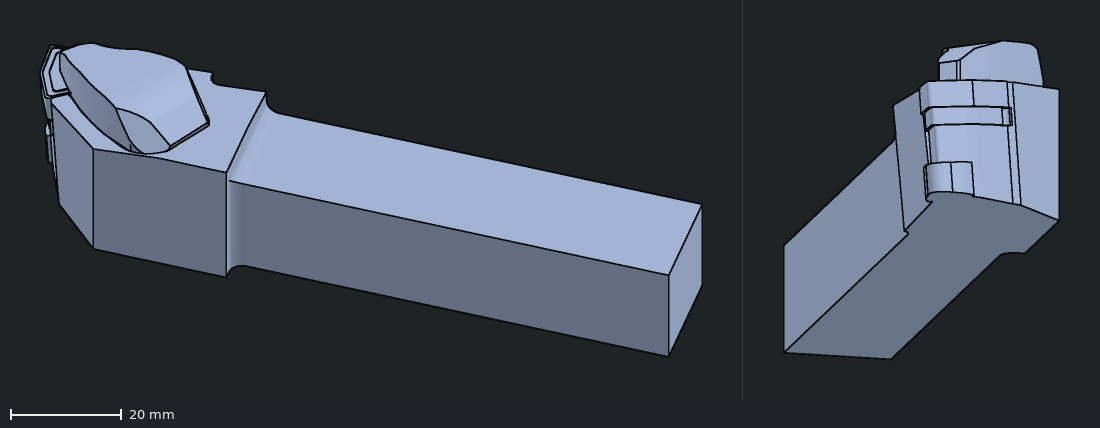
import cadquery as cq
import math

TOTAL_LENGTH = 125.0
SHANK_SIZE = 20.0
SHANK_FRONT_Y = 4.0
SHANK_BACK_Y = SHANK_FRONT_Y + SHANK_SIZE
HEAD_HEIGHT = 25.7
HEAD_END_X = 42.5
HEAD_CORNER_X = 17.3
BACK_STEP_X = 31.3
BACK_LEFT_X = 10.0
BACK_WALL_Y = 27.45
BACK_WALL_RISE = 0.022
HEAD_LEFT_X = 4.5
SEAT_WALL_LENGTH = 1.4
NECK_FILLET = 2.5
EDGE_TOLERANCE = 0.1

BACK_DRAFT_TOP = 23.0
BACK_DRAFT_SHIFT = 2.2
BACK_LEFT_Y = BACK_WALL_Y + BACK_WALL_RISE * (BACK_STEP_X - BACK_LEFT_X)
BACK_DRAFT = (
    (BACK_LEFT_X, BACK_LEFT_Y, BACK_DRAFT_TOP),
    (BACK_STEP_X, BACK_WALL_Y, BACK_DRAFT_TOP),
    (BACK_STEP_X, BACK_WALL_Y - BACK_DRAFT_SHIFT, 0),
)
SEAT_WALL = ((5.0, 13.3, 22.0), (7.1, 11.2, 0.0), (5.5, 12.0, 22.0))

RAKE_SLOPE = math.tan(math.radians(5.5))
RAKE_START_X = 29.7

INSERT_CENTER = (6.83, 22.13)
INSCRIBED_RADIUS = 6.35
NOSE_HALF_ANGLE = 40.0
HALF_PITCH = 60.0
SIDE_BREAK_ANGLE = 10.0
NOSE_DIRECTIONS = (135.0, 255.0, 15.0)
NOSE_RADIUS = 0.8
INSERT_THICKNESS = 4.76
BREAKER_LAND = 0.5
BREAKER_WIDTH = 1.2
BREAKER_DEPTH = 0.25

SHIM_THICKNESS = 3.18
SHIM_GROWTH = 0.5
SEAT_DEPTH = INSERT_THICKNESS + SHIM_THICKNESS
RELIEF_RADIUS = 0.9
LEDGE_DEPTH = 15.0
SUPPORT_TIP = 8.32
SUPPORT_SIDE = ((3.64, 3.94), (1.89, 5.01), (-4.96, 7.5))
LEDGE_TIP = 9.6
LEDGE_SIDE = ((4.1, 4.8), (5.8, 4.3), (7.85, 2.6))
DEEP = 40.0

CLAMP_TOP = 32.82
CLAMP_BASE = 18.0
CLAMP_NOSE_HEIGHT = 25.2
CLAMP_POCKET_DEPTH = 0.5
CLAMP_CLEARANCE = 0.25
FRONT_RAMP_DIRECTION = -43.3
FRONT_RAMP = ((-12.4, CLAMP_NOSE_HEIGHT), (-8.4, 28.2), (-0.6, 31.2), (9.4, CLAMP_TOP))
REAR_RAMP_DIRECTION = -29.0
REAR_RAMP = ((13.2, CLAMP_TOP), (17.6, 32.15), (21.5, 30.2), (25.5, 26.4))
REAR_RAMP_TILT = 1.9
REAR_RAMP_ORIGIN = (6.5, 11.7, 0)
SIDE_BEVEL = ((20.9, 3.4, 32.5), (25.7, 0.9, 25.6), (30.2, 2.9, 26.3))
SIDE_UNDERCUT = ((21.7, 2.5, 29.3), (18.5, 4.75, 25.6), (23.85, 1.2, 27.6))
HEEL_BEVEL = ((29.0, 18.4, 31.7), (35.4, 11.5, 25.7), (33.8, 15.3, 24.5))


def rake_height(x, y):
    return HEAD_HEIGHT + RAKE_SLOPE * (x - RAKE_START_X - y)


RAKE_PLANE = cq.Plane(
    origin=(*INSERT_CENTER, rake_height(*INSERT_CENTER)),
    xDir=(1, 0, RAKE_SLOPE),
    normal=(-RAKE_SLOPE, RAKE_SLOPE, 1),
)


def polar(radius, degrees):
    angle = math.radians(degrees)
    return (radius * math.cos(angle), radius * math.sin(angle))


def edge_near(solid, point):
    return solid.edges(cq.NearestToPointSelector(point.toTuple())).val()


def trigon(inset, top_depth, thickness):
    """Trigon prism below the rake plane, its sides moved in by the inset."""
    radius = INSCRIBED_RADIUS - inset
    nose_distance = radius / math.sin(math.radians(NOSE_HALF_ANGLE))
    side_distance = radius / math.cos(math.radians(SIDE_BREAK_ANGLE))
    points = []
    for direction in NOSE_DIRECTIONS:
        points.append(polar(nose_distance, direction))
        points.append(polar(side_distance, direction + HALF_PITCH))
    prism = (
        cq.Workplane(RAKE_PLANE).workplane(offset=-top_depth)
        .polyline(points).close().extrude(-thickness)
    )
    corners = []
    for direction in NOSE_DIRECTIONS:
        edge_middle = (*polar(nose_distance, direction), -top_depth - thickness / 2)
        corners.append(edge_near(prism, RAKE_PLANE.toWorldCoords(edge_middle)))
    return prism.newObject(corners).fillet(NOSE_RADIUS)


def half_space(p1, p2, p3, size=100.0):
    """Block on the side of plane p1-p2-p3 that its right-handed normal points to."""
    a, b, c = cq.Vector(*p1), cq.Vector(*p2), cq.Vector(*p3)
    plane = cq.Plane(origin=p1, xDir=(b - a).toTuple(), normal=(b - a).cross(c - a).toTuple())
    return cq.Workplane(plane).rect(size, size).extrude(size)


def make_insert():
    """Trigon insert with a chip breaker groove around its top."""
    insert = trigon(0, 0, INSERT_THICKNESS)
    groove = trigon(BREAKER_LAND, 0, BREAKER_DEPTH).cut(
        trigon(BREAKER_LAND + BREAKER_WIDTH, 0, BREAKER_DEPTH))
    return insert.cut(groove)


def make_head_and_shank():
    """Upright head block with the square shank and its neck fillets."""
    left_wall_y = HEAD_CORNER_X - HEAD_LEFT_X
    head = (
        cq.Workplane("XY")
        .moveTo(HEAD_CORNER_X, 0)
        .lineTo(HEAD_END_X, 0)
        .lineTo(HEAD_END_X, SHANK_BACK_Y)
        .lineTo(BACK_STEP_X + NECK_FILLET, SHANK_BACK_Y)
        .radiusArc((BACK_STEP_X, SHANK_BACK_Y + NECK_FILLET), NECK_FILLET)
        .lineTo(BACK_STEP_X, BACK_WALL_Y)
        .lineTo(BACK_LEFT_X, BACK_LEFT_Y)
        .lineTo(HEAD_LEFT_X, left_wall_y + SEAT_WALL_LENGTH)
        .lineTo(HEAD_LEFT_X, left_wall_y)
        .close().extrude(HEAD_HEIGHT)
    )
    shank = cq.Workplane("XY").box(
        TOTAL_LENGTH - HEAD_END_X, SHANK_SIZE, SHANK_SIZE, centered=False
    ).translate((HEAD_END_X, SHANK_FRONT_Y, 0))
    body = head.union(shank)
    neck = cq.selectors.BoxSelector(
        (HEAD_END_X - EDGE_TOLERANCE, SHANK_FRONT_Y - EDGE_TOLERANCE, -EDGE_TOLERANCE),
        (HEAD_END_X + EDGE_TOLERANCE, SHANK_BACK_Y + EDGE_TOLERANCE, SHANK_SIZE + EDGE_TOLERANCE),
    )
    return body.edges(neck).edges("<Y or >Z").fillet(NECK_FILLET)


def mirrored(points):
    """Half outline followed by its mirror image across the tip bisector, in reverse order."""
    return [*points, *((along, -side) for along, side in reversed(points))]


def seat_outline(depth):
    """Workplane at a depth below the rake plane; its x axis runs from insert centre to tip."""
    tip_direction = RAKE_PLANE.toWorldCoords(polar(1, NOSE_DIRECTIONS[0])) - RAKE_PLANE.origin
    frame = cq.Plane(origin=RAKE_PLANE.origin, xDir=tip_direction, normal=RAKE_PLANE.zDir)
    return cq.Workplane(frame).workplane(offset=-depth)


def make_support(growth, thickness):
    """Block under the insert; growth moves its sides outwards."""
    outline = seat_outline(INSERT_THICKNESS).polyline([(SUPPORT_TIP, 0), *mirrored(SUPPORT_SIDE)]).close()
    if growth:
        outline = outline.offset2D(growth, "intersection")
    block = outline.extrude(-thickness)
    middle_plane = seat_outline(INSERT_THICKNESS + thickness / 2).plane
    tip_edge = edge_near(block, middle_plane.toWorldCoords((SUPPORT_TIP + growth, 0)))
    return block.newObject([tip_edge]).fillet(NOSE_RADIUS)


def make_ledge():
    """Rounded nose that sticks out below the support."""
    root, flank, shoulder, far_shoulder, far_flank, far_root = mirrored(LEDGE_SIDE)
    return (
        seat_outline(LEDGE_DEPTH)
        .lineTo(*root)
        .threePointArc(flank, shoulder)
        .threePointArc((LEDGE_TIP, 0), far_shoulder)
        .threePointArc(far_flank, far_root)
        .close().extrude(-DEEP)
    )


def make_seat():
    shim = make_support(SHIM_GROWTH, SHIM_THICKNESS)
    seat = make_support(0, DEEP).union(shim).union(make_ledge())
    return seat.intersect(cq.Workplane("XY").box(2 * DEEP, 2 * DEEP, DEEP, centered=(True, True, False)))


def make_nose_reliefs():
    """Round clearances in the seat wall at the two inner insert corners."""
    nose_distance = (INSCRIBED_RADIUS - NOSE_RADIUS) / math.sin(math.radians(NOSE_HALF_ANGLE))
    return (
        cq.Workplane(RAKE_PLANE)
        .pushPoints([polar(nose_distance, d) for d in NOSE_DIRECTIONS[1:]])
        .circle(RELIEF_RADIUS).extrude(-SEAT_DEPTH)
    )


def make_clamp_blank():
    """Plan outline of the clamp with vertical walls."""
    return (
        cq.Workplane("XY", origin=(0, 0, CLAMP_BASE))
        .moveTo(4.0, 21.8)
        .lineTo(4.0, 22.5)
        .lineTo(6.4, 25.1)
        .threePointArc((8.4, 24.8), (10.2, 23.3))
        .threePointArc((14.0, 21.5), (18.7, 20.9))
        .threePointArc((25.9, 19.6), (33.8, 15.3))
        .threePointArc((35.2, 13.6), (35.4, 11.5))
        .lineTo(30.7, 2.75)
        .threePointArc((26.0, 0.9), (21.9, 2.3))
        .threePointArc((13.4, 9.2), (7.4, 16.3))
        .close().extrude(CLAMP_TOP - CLAMP_BASE)
    )


def ramp_workplane(origin, direction, tilt):
    """Upright sketch plane along a plan direction; its normal is tipped up by the tilt angle."""
    across = (*polar(1, direction - 90), math.tan(math.radians(tilt)))
    return cq.Workplane(cq.Plane(origin, xDir=(*polar(1, direction), 0), normal=across))


def make_clamp():
    """Clamp blank topped by ramps and bevelled at the heel."""
    front_ramps = (
        ramp_workplane((0, 0, 0), FRONT_RAMP_DIRECTION, 0)
        .polyline([
            (-DEEP, 0), (-DEEP, CLAMP_NOSE_HEIGHT), *FRONT_RAMP,
            (DEEP, CLAMP_TOP), (DEEP, 0),
        ]).close().extrude(DEEP, both=True)
    )
    crest, crest_bulge, break_line, heel = REAR_RAMP
    rear_ramps = (
        ramp_workplane(REAR_RAMP_ORIGIN, REAR_RAMP_DIRECTION, REAR_RAMP_TILT)
        .moveTo(-DEEP, 0)
        .lineTo(-DEEP, crest[1] + DEEP)
        .lineTo(crest[0], crest[1] + DEEP)
        .lineTo(*crest)
        .threePointArc(crest_bulge, break_line)
        .lineTo(*heel)
        .lineTo(heel[0], 0)
        .close().extrude(DEEP, both=True)
    )
    return (
        make_clamp_blank().intersect(front_ramps).intersect(rear_ramps)
        .cut(half_space(*SIDE_BEVEL)).cut(half_space(*SIDE_UNDERCUT)).cut(half_space(*HEEL_BEVEL))
    )


def rake_slab(depth, height):
    """Wide slab that starts at a depth below the rake plane; a negative height goes down."""
    side = 2 * TOTAL_LENGTH
    return cq.Workplane(RAKE_PLANE).workplane(offset=-depth).rect(side, side).extrude(height)


def make_holder():
    """Shank, head, seat and clamp as one body, hollowed for the insert."""
    head_zone = cq.Workplane("XY").box(2 * HEAD_END_X, 2 * DEEP, 2 * DEEP)
    rake_cut = rake_slab(0, DEEP).intersect(head_zone)
    clamp = make_clamp().cut(rake_slab(CLAMP_POCKET_DEPTH, -DEEP))
    clamp_pocket = make_clamp_blank().cut(rake_slab(CLAMP_POCKET_DEPTH, -DEEP))
    clamp_pocket = clamp_pocket.translate((-CLAMP_CLEARANCE, -CLAMP_CLEARANCE, 0))

    body = make_head_and_shank()
    body = body.cut(half_space(*BACK_DRAFT)).cut(half_space(*SEAT_WALL))
    body = body.union(make_seat()).cut(rake_cut).cut(clamp_pocket).union(clamp)
    return body.cut(trigon(0, 0, INSERT_THICKNESS)).cut(make_nose_reliefs())


insert = make_insert()
holder = make_holder()

result = cq.Compound.makeCompound([insert.val(), *holder.vals()])